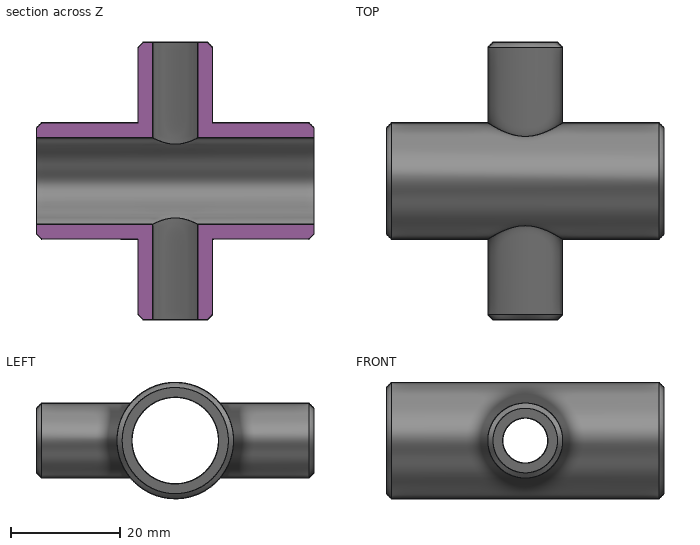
import cadquery as cq

overall_length = 50.8
run_outer_diameter = 21.34
run_bore_diameter = 15.8
branch_outer_diameter = 13.72
branch_bore_diameter = 8.2
end_chamfer = 0.95


def centred_cylinder(plane, diameter):
    """Cylinder of the overall length, centred on the origin along the plane normal."""
    return cq.Workplane(plane).circle(diameter / 2).extrude(overall_length / 2, both=True)


def chamfered_pipe_body(plane, diameter):
    """Solid pipe body with both outer end edges chamfered."""
    return centred_cylinder(plane, diameter).edges("%CIRCLE").chamfer(end_chamfer)


run_body = chamfered_pipe_body("YZ", run_outer_diameter)
branch_body = chamfered_pipe_body("XZ", branch_outer_diameter)

run_bore = centred_cylinder("YZ", run_bore_diameter)
branch_bore = centred_cylinder("XZ", branch_bore_diameter)

result = run_body.union(branch_body).cut(run_bore).cut(branch_bore)